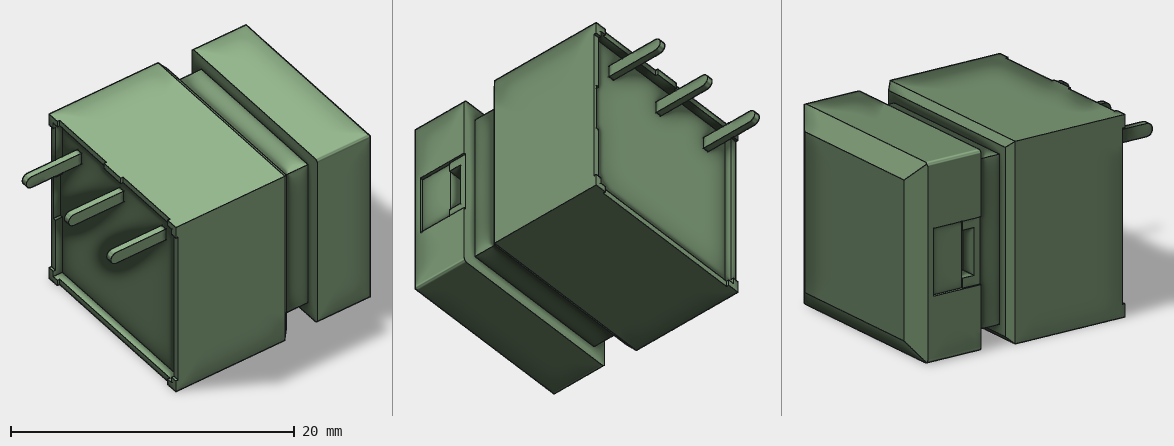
import cadquery as cq


HOUSING_WIDTH = 15.24
HOUSING_TOP = 10.0
HOUSING_CHAMFER = 0.5
WALL = 0.5
FLOOR_Y = 0.8
FOOT_HEIGHT = 0.2
CORNER_FOOT_LENGTH = 1.0
MIDDLE_FOOT_LENGTH = 2.0
NOTCH_LENGTH = 4.0
NOTCH_DEPTH = 0.25

NECK_WIDTH = 12.8
CAP_WIDTH = 15.1
CAP_BOTTOM = 12.4
CAP_TOP = 18.0
CAP_EDGE_RADIUS = 0.3
CAP_BEVEL_HEIGHT = 1.0
CAP_BEVEL_INSET = 1.5

RECESS_LENGTH = 5.1
RECESS_TOP = CAP_TOP - 1.5
RECESS_DEPTH = 0.25
LEDGE_TOP = CAP_BOTTOM + 1.5
LEDGE_DEPTH = 0.15
SLOT_LENGTH = 3.6
SLOT_BOTTOM = CAP_BOTTOM + 0.5
SLOT_DEPTH = 1.5

PIN_PITCH = 5.08
PIN_COUNT = 3
PIN_THICKNESS = 0.5
PIN_WIDTH = 1.0
PIN_TIP_Y = -4.0
PIN_ROOT_Y = 1.0
PIN_ROW_Z = 5.0


def box_between(x0, x1, y0, y1, z0, z1):
    """Box between two limits along each axis."""
    return cq.Workplane("XY").box(x1 - x0, y1 - y0, z1 - z0, centered=False).translate((x0, y0, z0))


def square_block(width, y0, y1):
    """Square block centred on the Y axis, from y0 to y1."""
    half = width / 2
    return box_between(-half, half, y0, y1, -half, half)


def make_housing():
    """Block with a bevelled top edge, a recessed underside and standing feet."""
    half = HOUSING_WIDTH / 2
    housing = square_block(HOUSING_WIDTH, 0, HOUSING_TOP).faces(">Y").chamfer(HOUSING_CHAMFER)

    housing = housing.cut(square_block(HOUSING_WIDTH - 2 * WALL, 0, FLOOR_Y))
    inner = half - WALL
    notch = box_between(
        -inner - NOTCH_DEPTH, -inner, 0, FLOOR_Y, -NOTCH_LENGTH / 2, NOTCH_LENGTH / 2
    )
    housing = housing.cut(notch)

    gap = half - CORNER_FOOT_LENGTH
    middle_foot = MIDDLE_FOOT_LENGTH / 2
    rim_gaps = [
        (-half, half, -gap, gap),
        (-gap, gap, -half, 0),
        (-gap, -middle_foot, 0, half),
        (middle_foot, gap, 0, half),
    ]
    for x0, x1, z0, z1 in rim_gaps:
        housing = housing.cut(box_between(x0, x1, 0, FOOT_HEIGHT, z0, z1))
    return housing


def make_cap():
    """Square cap with rounded sides, a bevelled top and a slotted recess in its -X side."""
    half = CAP_WIDTH / 2
    bevel_y = CAP_TOP - CAP_BEVEL_HEIGHT
    top_width = CAP_WIDTH - 2 * CAP_BEVEL_INSET
    bevel = (
        cq.Workplane("XZ", origin=(0, bevel_y, 0))
        .rect(CAP_WIDTH, CAP_WIDTH)
        .workplane(offset=-CAP_BEVEL_HEIGHT)
        .rect(top_width, top_width)
        .loft()
    )
    rounded = square_block(CAP_WIDTH, CAP_BOTTOM, CAP_TOP).edges("|Y").fillet(CAP_EDGE_RADIUS)
    cap = square_block(CAP_WIDTH, CAP_BOTTOM, bevel_y).union(bevel).intersect(rounded)

    cuts = [
        (RECESS_DEPTH, LEDGE_TOP, RECESS_TOP, RECESS_LENGTH),
        (LEDGE_DEPTH, CAP_BOTTOM, LEDGE_TOP, RECESS_LENGTH),
        (SLOT_DEPTH, SLOT_BOTTOM, LEDGE_TOP, SLOT_LENGTH),
    ]
    for depth, y0, y1, length in cuts:
        cap = cap.cut(box_between(-half, -half + depth, y0, y1, -length / 2, length / 2))
    return cap


def make_pin(x):
    """Flat pin with a full-round tip, rooted just below the floor of the housing recess."""
    radius = PIN_WIDTH / 2
    shoulder_y = PIN_TIP_Y + radius
    return (
        cq.Workplane("YZ", origin=(x - PIN_THICKNESS / 2, 0, PIN_ROW_Z))
        .moveTo(PIN_ROOT_Y, radius)
        .lineTo(shoulder_y, radius)
        .threePointArc((PIN_TIP_Y, 0), (shoulder_y, -radius))
        .lineTo(PIN_ROOT_Y, -radius)
        .close()
        .extrude(PIN_THICKNESS)
    )


def make_body(pins):
    """Housing, neck and cap in one piece, with a matching socket for each pin root."""
    neck = square_block(NECK_WIDTH, HOUSING_TOP, CAP_BOTTOM)
    body = make_housing().union(neck).union(make_cap())
    for pin in pins:
        body = body.cut(pin)
    return body


pins = [make_pin((i - (PIN_COUNT - 1) / 2) * PIN_PITCH) for i in range(PIN_COUNT)]
body = make_body(pins)

result = cq.Compound.makeCompound([body.solids().val()] + [pin.val() for pin in pins])